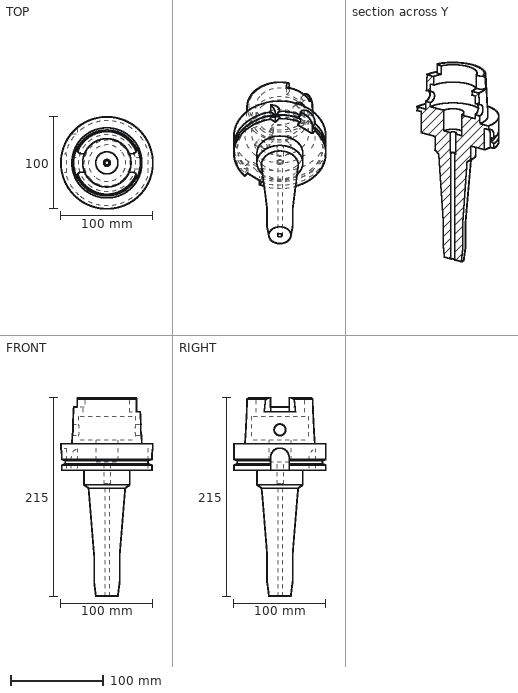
import cadquery as cq

total_length = 215.0

shank_height = 49.9
shank_base_radius = 38.0
shank_tip_radius = 35.7
tip_chamfer = 1.7

flange_radius = 100.0 / 2
flange_bottom = -29.0
groove_radius = 46.2
groove_upper_edge = -17.0
groove_floor_top = -18.3
groove_floor_bottom = -21.7
groove_lower_edge = -23.5

neck_radius = 25.0
neck_bottom = -44.7
neck_chamfer_bottom = -48.2
taper_top_radius = 20.0
nose_radius = 14.0
nose_top = -121.0
nose_bottom = -150.0
nose_tip_radius = 12.0
nose_tip = shank_height - total_length

mouth_radius = 26.2
lip_height = 20.0
undercut_radius = 31.0
undercut_floor = 4.3
middle_bore_radius = 12.0
middle_bore_floor = -19.4
channel_radius = 3.7
channel_floor = -43.0
through_radius = 2.4

key_width = 20.0
key_round_radius = 4.3
key_flat_offset = 64.3 / 2
key_depth_minus_x = 9.9
key_depth_plus_x = 15.0
slot_top = -4.7
slot_floor_offset = 44.0
notch_floor_offset = 32.2
notch_wall_y = 31.4
notch_center_y = notch_wall_y + key_width / 2
cross_hole_radius = 12.3 / 2
cross_hole_z = 15.0


def make_body():
    """Revolve the outside profile around Z."""
    profile = [
        (0, shank_height),
        (shank_tip_radius - tip_chamfer, shank_height),
        (shank_tip_radius, shank_height - tip_chamfer),
        (shank_base_radius, 0),
        (flange_radius, 0),
        (flange_radius, groove_upper_edge),
        (groove_radius, groove_floor_top),
        (groove_radius, groove_floor_bottom),
        (flange_radius, groove_lower_edge),
        (flange_radius, flange_bottom),
        (neck_radius, flange_bottom),
        (neck_radius, neck_bottom),
        (taper_top_radius, neck_chamfer_bottom),
        (nose_radius, nose_top),
        (nose_radius, nose_bottom),
        (nose_tip_radius, nose_tip),
        (0, nose_tip),
    ]
    return cq.Workplane("XZ").polyline(profile).close().revolve(360, (0, 0), (0, 1))


def bore(radius, bottom, top):
    """Cylinder on the Z axis between two heights."""
    return cq.Workplane("XY").workplane(offset=bottom).circle(radius).extrude(top - bottom)


def make_bores():
    """Stepped bore: lipped mouth, undercut, middle bore and through channel."""
    lip_bottom = shank_height - lip_height
    cutter = bore(mouth_radius, undercut_floor, shank_height)
    cutter = cutter.union(bore(undercut_radius, undercut_floor, lip_bottom))
    cutter = cutter.union(bore(middle_bore_radius, middle_bore_floor, shank_height))
    cutter = cutter.union(bore(channel_radius, channel_floor, shank_height))
    return cutter.union(bore(through_radius, nose_tip, shank_height))


def make_keyway(side, depth):
    """Drive keyway in the shank tip, widened by rounds to a flat across the outside."""
    half_width = key_width / 2
    round_start = key_flat_offset - key_round_radius
    round_end = half_width + key_round_radius
    outside = flange_radius
    return (
        cq.Workplane("XY").workplane(offset=shank_height - depth)
        .moveTo(0, -half_width)
        .lineTo(side * round_start, -half_width)
        .radiusArc((side * key_flat_offset, -round_end), side * key_round_radius)
        .lineTo(side * key_flat_offset, -outside)
        .lineTo(side * outside, -outside)
        .lineTo(side * outside, outside)
        .lineTo(side * key_flat_offset, outside)
        .lineTo(side * key_flat_offset, round_end)
        .radiusArc((side * round_start, half_width), side * key_round_radius)
        .lineTo(0, half_width)
        .close()
        .extrude(depth)
    )


def make_flange_slot(side, floor_offset, center_y):
    """Round-topped slot open at the flange underside, with a flat floor normal to X."""
    half_width = key_width / 2
    arc_center_z = slot_top - half_width
    return (
        cq.Workplane("YZ").workplane(offset=side * floor_offset)
        .moveTo(center_y - half_width, flange_bottom)
        .lineTo(center_y - half_width, arc_center_z)
        .threePointArc((center_y, slot_top), (center_y + half_width, arc_center_z))
        .lineTo(center_y + half_width, flange_bottom)
        .close()
        .extrude(side * flange_radius)
    )


def make_cross_hole():
    """Hole along X through both shank walls."""
    return (
        cq.Workplane("YZ").center(0, cross_hole_z).circle(cross_hole_radius)
        .extrude(flange_radius, both=True)
    )


result = make_body().cut(make_bores()).cut(make_cross_hole())
for side, key_depth in ((-1, key_depth_minus_x), (1, key_depth_plus_x)):
    result = result.cut(make_keyway(side, key_depth))
    result = result.cut(make_flange_slot(side, slot_floor_offset, 0))
result = result.cut(make_flange_slot(-1, notch_floor_offset, notch_center_y))